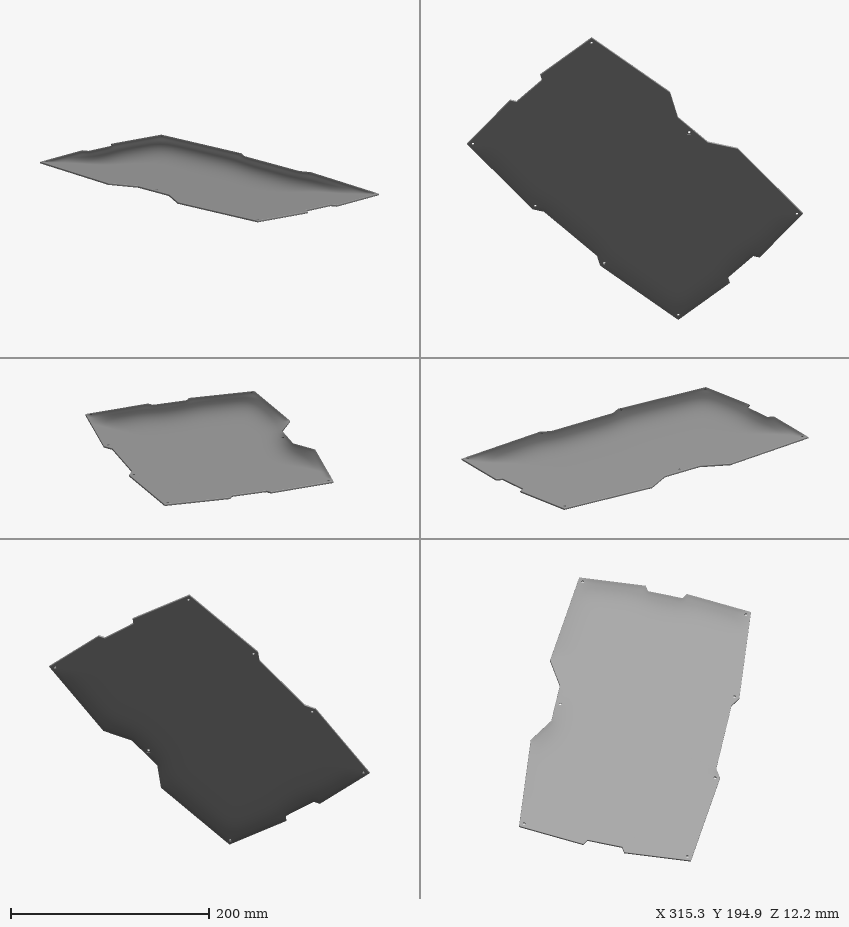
import cadquery as cq
import math

thickness = 2.0
edge_radius = 0.5
tilt_angle = 3.0

half_width = 157.635
half_depth = 97.555
corner_x = 151.7
corner_y = 88.55
tip_x = 48.45
side_tip_y = 21.15

flank_slope = math.tan(math.radians(30))
rear_recess_depth = 5.96
front_recess_depth = 15.63
side_recess_depth = 5.85
rear_recess_half_width = tip_x - rear_recess_depth / flank_slope
front_recess_half_width = tip_x - front_recess_depth / flank_slope
side_recess_half_width = side_tip_y - side_recess_depth * flank_slope
rear_recess_y = half_depth - rear_recess_depth
front_recess_y = half_depth - front_recess_depth
side_recess_x = half_width - side_recess_depth

hole_diameter = 2.7
corner_hole_x = 147.45
corner_hole_y = 84.1
rear_hole_x = 49.45
rear_hole_y = 92.6
front_hole_y = 76.9
counterbore_diameter = 5.2
counterbore_depth = 1.0


def make_plate():
    """Extrude the outline, which is symmetric about the YZ plane, and round its rims."""
    right_half = [
        (rear_recess_half_width, rear_recess_y),
        (tip_x, half_depth),
        (corner_x, corner_y),
        (half_width, side_tip_y),
        (side_recess_x, side_recess_half_width),
        (side_recess_x, -side_recess_half_width),
        (half_width, -side_tip_y),
        (corner_x, -corner_y),
        (tip_x, -half_depth),
        (front_recess_half_width, -front_recess_y),
    ]
    left_half = [(-x, y) for x, y in reversed(right_half)]
    outline = cq.Workplane("XY").workplane(offset=-thickness / 2).polyline(right_half + left_half).close()
    return outline.extrude(thickness).faces("|Z").edges().fillet(edge_radius)


def cut_plain_holes(plate):
    """Drill the four corner holes and the two rear holes through the plate."""
    centres = []
    for side in (-1, 1):
        centres.append((side * rear_hole_x, rear_hole_y))
        for end in (-1, 1):
            centres.append((side * corner_hole_x, end * corner_hole_y))
    return plate.faces(">Z").workplane(origin=(0, 0, 0)).pushPoints(centres).hole(hole_diameter)


def cut_front_hole(plate):
    """Drill the front hole, counterbored from the underside."""
    underside = plate.faces("<Z").workplane(origin=(0, -front_hole_y, 0))
    return underside.cboreHole(hole_diameter, counterbore_diameter, counterbore_depth)


flat_plate = cut_front_hole(cut_plain_holes(make_plate()))
result = flat_plate.rotate((0, 0, 0), (1, 0, 0), -tilt_angle)